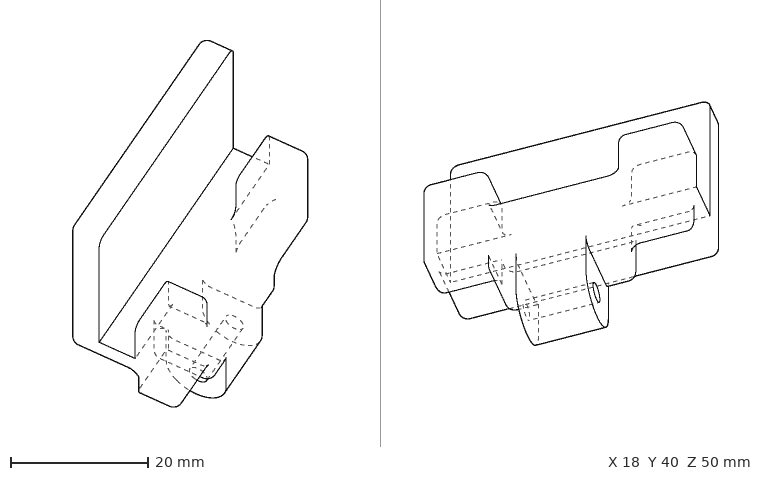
import cadquery as cq

width = 40.0
depth = 18.0
height = 50.0
plate_thickness = 5.0
upright_front = 11.0
slot_floor = 25.0
upright_top = 33.0
plate_bottom = 21.0
upright_bottom = 16.0
block_front = 8.0
block_bottom = 11.0
block_width = 20.0
lug_width = 10.8
hole_diameter = 3.0
hole_x = 13.35
edge_radius = 1.4

lug_radius = (depth - block_front) / 2
lug_center_x = block_front + lug_radius
lug_center_z = lug_radius
half_width = width / 2
half_block = block_width / 2
tolerance = 0.005


def box(x_range, y_width, z_range):
    """Box centred on Y between the given X and Z limits."""
    size_x = x_range[1] - x_range[0]
    size_z = z_range[1] - z_range[0]
    return (
        cq.Workplane("XY")
        .box(size_x, y_width, size_z, centered=(False, True, False))
        .translate((x_range[0], 0, z_range[0]))
    )


def edges_in(solid, x_range, y_range, z_range):
    """Edges lying wholly inside a box; y_range applies to both sides of Y = 0."""
    def inside(edge):
        bounds = edge.BoundingBox()
        low_y, high_y = sorted((abs(bounds.ymin), abs(bounds.ymax)))
        if bounds.ymin * bounds.ymax < 0:
            low_y = 0
        limits = (
            (bounds.xmin, bounds.xmax, x_range),
            (low_y, high_y, y_range),
            (bounds.zmin, bounds.zmax, z_range),
        )
        return all(
            low >= span[0] - tolerance and high <= span[1] + tolerance
            for low, high, span in limits
        )

    return [edge for edge in solid.Edges() if inside(edge)]


def round_edges(solid, *regions):
    """Round every edge found in the regions."""
    edges = []
    for region in regions:
        edges += [edge for edge in edges_in(solid, *region) if edge not in edges]
    return solid.fillet(edge_radius, edges)


def make_clip():
    """Plate and notched upright joined by the slot floor, with the block below."""
    profile = [
        (0, plate_bottom),
        (upright_front, plate_bottom),
        (upright_front, upright_bottom),
        (depth, upright_bottom),
        (depth, upright_top),
        (upright_front, upright_top),
        (upright_front, slot_floor),
        (plate_thickness, slot_floor),
        (plate_thickness, height),
        (0, height),
    ]
    clip = cq.Workplane("XZ").polyline(profile).close().extrude(half_width, both=True)
    gap = box((upright_front, depth), block_width, (slot_floor, upright_top))
    block = box((block_front, depth), block_width, (block_bottom, slot_floor))
    return clip.cut(gap).union(block).val()


def round_clip(solid):
    """Round the outer edges and inner corners, leaving the slot edges sharp."""
    whole_x = (0, depth)
    whole_y = (0, half_width)
    whole_z = (0, height)
    side_y = (half_width, half_width)
    block_side = (half_block, half_block)
    upright_x = (upright_front, depth)
    solid = round_edges(
        solid,
        (upright_x, block_side, (slot_floor, slot_floor)),
        (upright_x, block_side, (upright_top, upright_top)),
        (upright_x, block_side, (upright_bottom, upright_bottom)),
    )
    solid = round_edges(
        solid,
        ((block_front, block_front), block_side, (block_bottom, plate_bottom)),
        ((block_front, block_front), (0, half_block), (block_bottom, block_bottom)),
        ((block_front, depth), block_side, (block_bottom, block_bottom)),
    )
    solid = round_edges(
        solid,
        ((block_front, upright_front), (0, half_width), (plate_bottom, plate_bottom)),
    )
    return round_edges(
        solid,
        ((0, 0), whole_y, whole_z),
        ((depth, depth), whole_y, whole_z),
        (whole_x, side_y, (upright_bottom, plate_bottom)),
        ((0, plate_thickness), side_y, (height, height)),
        (upright_x, side_y, (upright_top, upright_top)),
    )


def cross_cylinder(center_x, diameter):
    """Cylinder along Y across the width of the lug."""
    return (
        cq.Workplane("XZ", origin=(center_x, lug_width / 2, lug_center_z))
        .circle(diameter / 2)
        .extrude(lug_width)
    )


def make_lug():
    """Round-ended lug reaching up into the block, with its pin hole."""
    straight = box((block_front, depth), lug_width, (lug_center_z, upright_bottom))
    end = cross_cylinder(lug_center_x, 2 * lug_radius)
    hole = cross_cylinder(hole_x, hole_diameter)
    return straight.union(end).cut(hole)


result = cq.Workplane(obj=round_clip(make_clip())).union(make_lug())